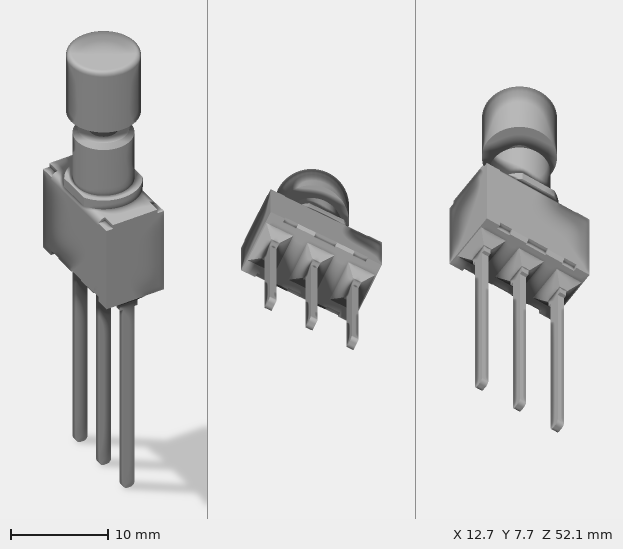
import cadquery as cq


BASE_BOTTOM = 24.55
FRAME_TOP = 34.9
WASHER_HEIGHT = 1.1
BUSHING_TOP = 42.3
BUTTON_BOTTOM = 44.5
BUTTON_TOP = 52.05

BASE_LENGTH = 12.7
BASE_WIDTH = 6.85

SHEET = 0.45
BEND_RADIUS = 0.8
PANEL_LENGTH = 9.45
PANEL_BOTTOM = BASE_BOTTOM + 0.55
TAB_INNER_X = 1.2
TAB_OUTER_X = 3.2
TAB_BEND_Z = BASE_BOTTOM + 0.45
TAB_OFFSET = 0.3
BASE_TOP = FRAME_TOP - SHEET

WASHER_DIAMETER = 8.05
WASHER_ACROSS_FLATS = 7.0
BUSHING_DIAMETER = 6.35
BUSHING_CHAMFER = 0.5
STEM_DIAMETER = 3.1
BUTTON_DIAMETER = 7.7
BUTTON_FILLET = 0.5

PIN_COUNT = 3
PIN_PITCH = 4.7
PIN_THICKNESS = 0.8
PIN_WIDTH = 1.3
PIN_TIP_FILLET = 0.45
SHOULDER_WIDTH = 2.1
SHOULDER_BOTTOM = BASE_BOTTOM - 1.85
COLLAR_HEIGHT = 1.1
COLLAR_MARGIN = 0.1
COLLAR_FLARE = 1.05


def box_between(length, width, bottom, top):
    """Box centred on the Z axis between two heights."""
    return (
        cq.Workplane("XY")
        .workplane(offset=bottom)
        .rect(length, width)
        .extrude(top - bottom)
    )


def cylinder_between(diameter, bottom, top):
    """Cylinder on the Z axis between two heights."""
    return cq.Workplane("XY").workplane(offset=bottom).circle(diameter / 2).extrude(top - bottom)


def make_channel():
    """Inverted U of bent sheet that covers the top and both long sides of the base."""
    outside = box_between(PANEL_LENGTH, BASE_WIDTH, PANEL_BOTTOM, FRAME_TOP)
    outside = outside.edges("|X and >Z").fillet(BEND_RADIUS)
    inside = box_between(PANEL_LENGTH, BASE_WIDTH - 2 * SHEET, PANEL_BOTTOM, BASE_TOP)
    inside = inside.edges("|X and >Z").fillet(BEND_RADIUS - SHEET)
    return outside.cut(inside)


def make_tab():
    """Tab under the -Y panel, bent inward at its lower end, on the +X half."""
    outer_y = -BASE_WIDTH / 2
    inner_y = outer_y + SHEET
    return (
        cq.Workplane("YZ")
        .workplane(offset=TAB_INNER_X)
        .moveTo(outer_y, PANEL_BOTTOM)
        .lineTo(outer_y, TAB_BEND_Z)
        .lineTo(outer_y + TAB_OFFSET, BASE_BOTTOM)
        .lineTo(inner_y + TAB_OFFSET, BASE_BOTTOM)
        .lineTo(inner_y, TAB_BEND_Z)
        .lineTo(inner_y, PANEL_BOTTOM)
        .close()
        .extrude(TAB_OUTER_X - TAB_INNER_X)
    )


def make_frame():
    """Channel, full-length top plate and the four tabs."""
    frame = make_channel()
    frame = frame.union(box_between(BASE_LENGTH, BASE_WIDTH - 2 * BEND_RADIUS, BASE_TOP, FRAME_TOP))
    front_tabs = make_tab()
    front_tabs = front_tabs.union(front_tabs.mirror("YZ"))
    return frame.union(front_tabs).union(front_tabs.mirror("XZ"))


def make_actuator(frame):
    """Frame with the flatted washer, bushing, stem and button stacked on it."""
    washer_top = FRAME_TOP + WASHER_HEIGHT
    washer = cylinder_between(WASHER_DIAMETER, FRAME_TOP, washer_top)
    washer = washer.intersect(
        box_between(WASHER_DIAMETER, WASHER_ACROSS_FLATS, FRAME_TOP, washer_top)
    )
    bushing = cylinder_between(BUSHING_DIAMETER, washer_top, BUSHING_TOP)
    bushing = bushing.faces(">Z").edges().chamfer(BUSHING_CHAMFER)
    stem = cylinder_between(STEM_DIAMETER, BUSHING_TOP, BUTTON_BOTTOM)
    button = cylinder_between(BUTTON_DIAMETER, BUTTON_BOTTOM, BUTTON_TOP)
    button = button.faces(">Z").edges().fillet(BUTTON_FILLET)
    return frame.union(washer).union(bushing).union(stem).union(button)


def make_terminal():
    """Flat pin with a rounded tip, a wider shoulder and a flared collar under the base."""
    pin = box_between(PIN_THICKNESS, PIN_WIDTH, 0, BASE_BOTTOM)
    pin = pin.edges("|X and <Z").fillet(PIN_TIP_FILLET)
    shoulder = box_between(PIN_THICKNESS, SHOULDER_WIDTH, SHOULDER_BOTTOM, BASE_BOTTOM)
    collar_length = PIN_THICKNESS + 2 * COLLAR_MARGIN
    collar_width = SHOULDER_WIDTH + 2 * COLLAR_MARGIN
    collar = (
        cq.Workplane("XY")
        .workplane(offset=BASE_BOTTOM - COLLAR_HEIGHT)
        .rect(collar_length, collar_width)
        .workplane(offset=COLLAR_HEIGHT)
        .rect(collar_length + 2 * COLLAR_FLARE, collar_width + 2 * COLLAR_FLARE)
        .loft(ruled=True)
    )
    return pin.union(shoulder).union(collar)


def make_base(frame):
    """Block recessed for the frame panels and tabs, with its row of terminals."""
    base = box_between(BASE_LENGTH, BASE_WIDTH, BASE_BOTTOM, BASE_TOP)
    core = box_between(PANEL_LENGTH, BASE_WIDTH - 2 * SHEET, BASE_BOTTOM, BASE_TOP)
    core = core.edges("|X and >Z").fillet(BEND_RADIUS - SHEET)
    side_recesses = box_between(PANEL_LENGTH, BASE_WIDTH, BASE_BOTTOM, BASE_TOP).cut(core)
    base = base.cut(side_recesses).cut(frame)
    terminal = make_terminal()
    for index in range(PIN_COUNT):
        x = (index - (PIN_COUNT - 1) / 2) * PIN_PITCH
        base = base.union(terminal.translate((x, 0, 0)))
    return base


frame = make_frame()
actuator = make_actuator(frame)
base = make_base(frame)

result = cq.Compound.makeCompound([actuator.solids().val(), base.solids().val()])